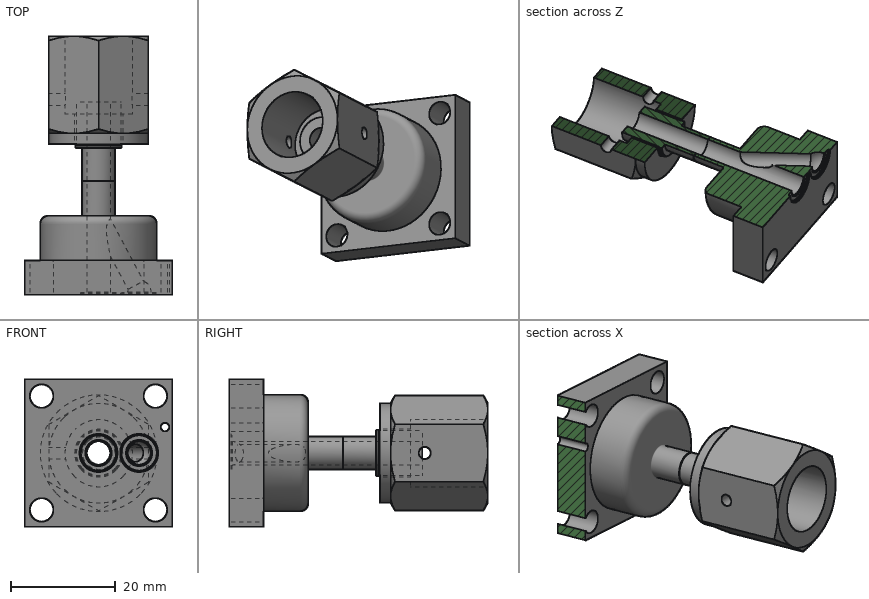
import cadquery as cq
import math


plate_side = 28.3
plate_thickness = 6.6
hub_radius = 11.2
hub_end_y = 15.15
hub_round = 1.6
tube_radius = 3.15
tube_joint_y = 21.75
tube_end_chamfer = 0.075
stub_root_round = 0.15
bore_radius = 2.25

bolt_offset = 10.9
bolt_hole_radius = 2.25
pin_hole_x = 12.7
pin_hole_z = 4.95
pin_hole_radius = 0.8

port_x = 7.75
recess_radius = 3.65
recess_depth = 0.45
cone_width = 0.3
cone_depth = 0.15

passage_radius = 1.7
passage_tilt = 28

collar_radius = 4.45
collar_width = 0.8
collar_chamfer = 0.2
shoulder_radius = 4.3
gland_end_y = 36.95

nut_end_y = 49.45
nut_start_y = 28.85
hex_start_y = 30.85
hex_flats = 19.1
corner_cone_angle = 30
nut_hole_radius = 4.6
thread_radius = 6.45
thread_start_y = 34.65
vent_y = 37.4
vent_radius = 1.15


def cylinder(radius, y_start, y_end, x=0, z=0):
    """Cylinder parallel to Y between two y positions."""
    axis_start = cq.Vector(x, y_start, z)
    return cq.Workplane(obj=cq.Solid.makeCylinder(radius, y_end - y_start, axis_start, cq.Vector(0, 1, 0)))


def seal_recess(x):
    """Shallow recess with a coned lower corner, and the chamfer at the mouth of its port."""
    floor_radius = recess_radius - cone_width
    mouth_radius = bore_radius + cone_width
    cone_y = recess_depth - cone_depth
    mouth_end_y = recess_depth + cone_depth
    return (
        cq.Workplane("XY")
        .moveTo(0, 0)
        .lineTo(recess_radius, 0)
        .lineTo(recess_radius, cone_y)
        .lineTo(floor_radius, recess_depth)
        .lineTo(mouth_radius, recess_depth)
        .lineTo(bore_radius, mouth_end_y)
        .lineTo(0, mouth_end_y)
        .close()
        .revolve(360, (0, 0, 0), (0, 1, 0))
        .translate((x, 0, 0))
    )


def side_port():
    """Half-ball pocket and the slanted passage from its centre to the axis of the central bore."""
    centre = cq.Vector(port_x, recess_depth + cone_depth, 0)
    pocket = cq.Workplane("XY").sphere(bore_radius).translate(centre)
    tilt = math.radians(passage_tilt)
    direction = cq.Vector(-math.sin(tilt), math.cos(tilt), 0)
    length = port_x / math.sin(tilt)
    passage = cq.Workplane(obj=cq.Solid.makeCylinder(passage_radius, length, centre, direction))
    return pocket.union(passage)


def hub_and_stub():
    """Round hub with its stub tube, blended at the root of the stub."""
    hub = cylinder(hub_radius, plate_thickness, hub_end_y).faces(">Y").edges().fillet(hub_round)
    stub = cylinder(tube_radius, plate_thickness, tube_joint_y).faces(">Y").edges().chamfer(tube_end_chamfer)
    root_edge = cq.NearestToPointSelector((0, hub_end_y, 0))
    return hub.union(stub).edges(root_edge).fillet(stub_root_round)


def make_block():
    plate = cq.Workplane("XZ").rect(plate_side, plate_side).extrude(-plate_thickness)
    block = plate.union(hub_and_stub())

    block = block.cut(cylinder(bore_radius, 0, tube_joint_y))
    block = block.cut(side_port())
    for x in (0, port_x):
        block = block.cut(seal_recess(x))

    for x in (-bolt_offset, bolt_offset):
        for z in (-bolt_offset, bolt_offset):
            block = block.cut(cylinder(bolt_hole_radius, 0, plate_thickness, x, z))
    return block.cut(cylinder(pin_hole_radius, 0, plate_thickness, pin_hole_x, pin_hole_z))


def make_gland():
    collar_start_y = nut_start_y - collar_width
    tube = cylinder(tube_radius, tube_joint_y, gland_end_y).faces("<Y").edges().chamfer(tube_end_chamfer)
    collar = cylinder(collar_radius, collar_start_y, nut_start_y).edges().chamfer(collar_chamfer)
    shoulder = cylinder(shoulder_radius, nut_start_y - collar_chamfer, gland_end_y)
    gland = tube.union(collar).union(shoulder)
    return gland.cut(cylinder(bore_radius, tube_joint_y, gland_end_y))


def hex_prism():
    """Hexagon with two flats facing +X and -X, its corners turned off by a cone at both ends."""
    corner_diameter = hex_flats / math.cos(math.pi / 6)
    prism = (
        cq.Workplane("XZ", origin=(0, nut_end_y, 0))
        .transformed(rotate=(0, 0, 30))
        .polygon(6, corner_diameter)
        .extrude(nut_end_y - hex_start_y)
    )
    end_radius = hex_flats / 2
    corner_radius = corner_diameter / 2
    drop = (corner_radius - end_radius) * math.tan(math.radians(corner_cone_angle))
    turned = (
        cq.Workplane("XY")
        .moveTo(0, hex_start_y)
        .lineTo(end_radius, hex_start_y)
        .lineTo(corner_radius, hex_start_y + drop)
        .lineTo(corner_radius, nut_end_y - drop)
        .lineTo(end_radius, nut_end_y)
        .lineTo(0, nut_end_y)
        .close()
        .revolve(360, (0, 0, 0), (0, 1, 0))
    )
    return prism.intersect(turned)


def make_nut():
    flange = cylinder(hex_flats / 2, nut_start_y, hex_start_y)
    nut = hex_prism().union(flange)
    nut = nut.cut(cylinder(nut_hole_radius, nut_start_y, nut_end_y))
    nut = nut.cut(cylinder(thread_radius, thread_start_y, nut_end_y))
    vent = cq.Workplane("YZ", origin=(-hex_flats, vent_y, 0)).circle(vent_radius).extrude(2 * hex_flats)
    return nut.cut(vent)


block = make_block()
gland = make_gland()
nut = make_nut()

result = cq.Compound.makeCompound([block.val(), gland.val(), nut.val()])